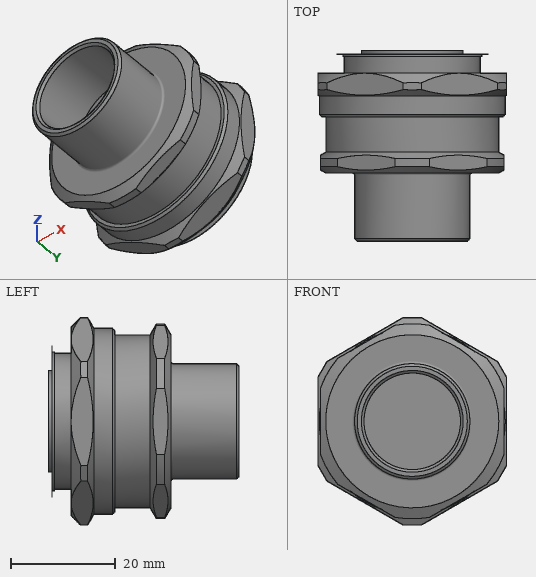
import cadquery as cq
import math


TUBE_DIAMETER = 22.0
TUBE_LENGTH = 13.0
TUBE_CHAMFER = 0.5
TUBE_ROOT_FILLET = 0.45
BORE_DIAMETER = 18.4
BORE_DEPTH = 12.5
BORE_CHAMFER = 0.5

FRONT_HEX_ACROSS_FLATS = 35.0
FRONT_HEX_TURNED_DIAMETER = 37.2
FRONT_HEX_THICKNESS = 4.0

BODY_DIAMETER = 33.0
COLLAR_FRONT = 10.7
COLLAR_DIAMETER = 35.5
COLLAR_LENGTH = 4.0
COLLAR_CHAMFER = 0.5

REAR_HEX_FRONT = COLLAR_FRONT + COLLAR_LENGTH
REAR_HEX_ACROSS_FLATS = 36.0
REAR_HEX_CORNER_CUT = 1.0
REAR_HEX_THICKNESS = 4.35

OVERALL_LENGTH = 36.4
REAR_END = OVERALL_LENGTH - TUBE_LENGTH
BOSS_DIAMETER = 19.4
BOSS_LENGTH = 0.7
CORE_DIAMETER = 26.0
RIM_DIAMETER = 26.5
RIM_LENGTH = 0.5
CORE_END = REAR_END - BOSS_LENGTH
LIP_DIAMETER = 28.8
LIP_THICKNESS = 0.06

SHALLOW_BEVEL_ANGLE = 30.0
STEEP_BEVEL_ANGLE = 45.0


def cylinder(diameter, start, end):
    """Cylinder on the Y axis from Y = start to Y = end."""
    plane = cq.Workplane("XZ", origin=(0, start, 0))
    return plane.circle(diameter / 2).extrude(start - end)


def hexagon(across_flats, start, end):
    """Hexagonal prism along Y with two corners on the Z axis."""
    across_corners = across_flats / math.cos(math.radians(30))
    plane = cq.Workplane("XZ", origin=(0, start, 0)).transformed(rotate=(0, 0, 90))
    return plane.polygon(6, across_corners).extrude(start - end)


def bevel_envelope(start, end, start_diameter, end_diameter, max_diameter, start_angle, end_angle):
    """Turned blank that bevels the corners of a hexagon at both ends."""
    max_radius = max_diameter / 2
    start_radius = start_diameter / 2
    end_radius = end_diameter / 2
    start_bevel = (max_radius - start_radius) * math.tan(math.radians(start_angle))
    end_bevel = (max_radius - end_radius) * math.tan(math.radians(end_angle))
    profile = (
        cq.Workplane("XY")
        .moveTo(0, start)
        .lineTo(start_radius, start)
        .lineTo(max_radius, start + start_bevel)
        .lineTo(max_radius, end - end_bevel)
        .lineTo(end_radius, end)
        .lineTo(0, end)
        .close()
    )
    return profile.revolve(360, (0, 0, 0), (0, 1, 0))


def make_front_hexagon():
    envelope = bevel_envelope(
        0, FRONT_HEX_THICKNESS, BODY_DIAMETER, BODY_DIAMETER,
        FRONT_HEX_TURNED_DIAMETER, SHALLOW_BEVEL_ANGLE, SHALLOW_BEVEL_ANGLE,
    )
    return hexagon(FRONT_HEX_ACROSS_FLATS, 0, FRONT_HEX_THICKNESS).intersect(envelope)


def make_rear_hexagon():
    rear_face = REAR_HEX_FRONT + REAR_HEX_THICKNESS
    across_corners = REAR_HEX_ACROSS_FLATS / math.cos(math.radians(30))
    cut_across_corners = across_corners - 2 * REAR_HEX_CORNER_CUT
    corner_cutter = hexagon(cut_across_corners, REAR_HEX_FRONT, rear_face)
    corner_cutter = corner_cutter.rotate((0, 0, 0), (0, 1, 0), 30)
    envelope = bevel_envelope(
        REAR_HEX_FRONT, rear_face, COLLAR_DIAMETER, REAR_HEX_ACROSS_FLATS,
        across_corners, SHALLOW_BEVEL_ANGLE, STEEP_BEVEL_ANGLE,
    )
    prism = hexagon(REAR_HEX_ACROSS_FLATS, REAR_HEX_FRONT, rear_face)
    return prism.intersect(corner_cutter).intersect(envelope)


def make_collar():
    collar = cylinder(COLLAR_DIAMETER, COLLAR_FRONT, REAR_HEX_FRONT)
    return collar.faces("<Y").chamfer(COLLAR_CHAMFER)


def make_tube():
    """Solid tube blank, flared by a fillet where it meets the front hexagon."""
    radius = TUBE_DIAMETER / 2
    arc_reach = TUBE_ROOT_FILLET * (1 - math.sqrt(0.5))
    profile = (
        cq.Workplane("XY")
        .moveTo(0, -TUBE_LENGTH)
        .lineTo(radius - TUBE_CHAMFER, -TUBE_LENGTH)
        .lineTo(radius, -TUBE_LENGTH + TUBE_CHAMFER)
        .lineTo(radius, -TUBE_ROOT_FILLET)
        .threePointArc((radius + arc_reach, -arc_reach), (radius + TUBE_ROOT_FILLET, 0))
        .lineTo(0, 0)
        .close()
    )
    return profile.revolve(360, (0, 0, 0), (0, 1, 0))


def make_bore():
    """Blind bore with a chamfered mouth, as a cutting body."""
    radius = BORE_DIAMETER / 2
    floor = BORE_DEPTH - TUBE_LENGTH
    profile = (
        cq.Workplane("XY")
        .moveTo(0, -TUBE_LENGTH)
        .lineTo(radius + BORE_CHAMFER, -TUBE_LENGTH)
        .lineTo(radius, -TUBE_LENGTH + BORE_CHAMFER)
        .lineTo(radius, floor)
        .lineTo(0, floor)
        .close()
    )
    return profile.revolve(360, (0, 0, 0), (0, 1, 0))


def make_rear_end():
    core = cylinder(CORE_DIAMETER, REAR_HEX_FRONT, CORE_END)
    rim = cylinder(RIM_DIAMETER, CORE_END - RIM_LENGTH, CORE_END)
    lip = cylinder(LIP_DIAMETER, CORE_END - LIP_THICKNESS, CORE_END)
    boss = cylinder(BOSS_DIAMETER, CORE_END, REAR_END)
    return core.union(rim).union(lip).union(boss)


body = cylinder(BODY_DIAMETER, 0, REAR_HEX_FRONT)
result = (
    make_front_hexagon()
    .union(body)
    .union(make_collar())
    .union(make_rear_hexagon())
    .union(make_rear_end())
    .union(make_tube())
    .cut(make_bore())
)